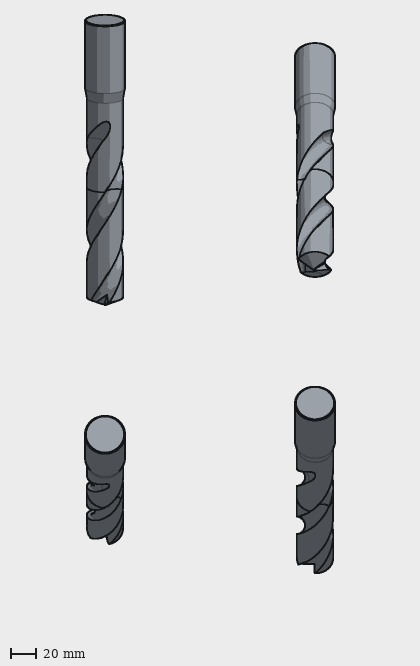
import cadquery as cq
import math

LENGTH = 235.0
SHANK_RADIUS = 16.0
DRILL_RADIUS = 14.45
SHANK_BOTTOM_Z = 179.3
NECK_TOP_Z = 170.8
SPLIT_Z = 97.3
POINT_HEIGHT = 6.8
TOP_CHAMFER_WIDTH = 1.0
TOP_CHAMFER_HEIGHT = 0.7

FLUTE_COUNT = 2
FLUTE_PITCH = 141.5
FLUTE_END_Z = 139.1
FLUTE_HALF_WIDTH = 8.2
FLUTE_DEPTH = 6.5
FLUTE_START_Z = -4.7
RUNOUT_SLOPE = 1.0
RUNOUT_LENGTH = 21.2

GASH_ANGLE = -36.0
GASH_WEB = 0.2
GASH_AXIS_Z = 1.9
GASH_RISE = 1.1
GASH_TILT = 0.3
GASH_WIDTH = 18.8


def flute_section(angle, z):
    """Horizontal elliptical flute section, centred on the drill surface."""
    return (
        cq.Workplane("XY")
        .ellipse(FLUTE_DEPTH, FLUTE_HALF_WIDTH)
        .extrude(2.4)
        .faces("<Z")
        .val()
        .translate(cq.Vector(DRILL_RADIUS, 0, z))
        .rotate(cq.Vector(0, 0, 0), cq.Vector(0, 0, 1), angle)
    )


def flute_cutters(index):
    """Helical cut of one flute and the straight tangent cut that runs it out."""
    end_angle = -90 + index * 360 / FLUTE_COUNT
    helix_height = FLUTE_END_Z - FLUTE_START_Z
    twist = 360 * helix_height / FLUTE_PITCH

    start_section = flute_section(end_angle - twist, FLUTE_START_Z)
    helix = cq.Solid.extrudeLinearWithRotation(
        start_section.outerWire(),
        [],
        cq.Vector(0, 0, FLUTE_START_Z),
        cq.Vector(0, 0, helix_height),
        twist,
    )

    tangent = math.radians(end_angle + 90)
    direction = cq.Vector(math.cos(tangent), math.sin(tangent), RUNOUT_SLOPE) * RUNOUT_LENGTH
    end_section = flute_section(end_angle, FLUTE_END_Z)
    runout = cq.Solid.extrudeLinear(end_section.outerWire(), [], direction)
    return [helix, runout]


def cut_flutes(blank):
    for index in range(FLUTE_COUNT):
        for cutter in flute_cutters(index):
            blank = blank.cut(cq.Workplane(cutter))
    return blank


def gash_cutter(index):
    """Prism below the tilted gash roof, on the open side of one lip face."""
    foot_x = -GASH_AXIS_Z / GASH_RISE
    roof_end_z = GASH_AXIS_Z + GASH_RISE * DRILL_RADIUS
    profile = (
        cq.Workplane("XZ")
        .moveTo(foot_x, 0)
        .lineTo(DRILL_RADIUS, roof_end_z)
        .lineTo(DRILL_RADIUS, 0)
        .close()
        .wire()
        .val()
        .translate(cq.Vector(0, -GASH_WEB, 0))
    )
    sweep = cq.Vector(0, -1, -GASH_TILT) * GASH_WIDTH
    prism = cq.Solid.extrudeLinear(profile, [], sweep)
    angle = GASH_ANGLE + index * 360 / FLUTE_COUNT
    return cq.Workplane(prism.rotate(cq.Vector(0, 0, 0), cq.Vector(0, 0, 1), angle))


def make_holder():
    """Shank, conical neck and the upper part of the fluted length."""
    blank = (
        cq.Workplane("XZ")
        .moveTo(0, SPLIT_Z)
        .lineTo(DRILL_RADIUS, SPLIT_Z)
        .lineTo(DRILL_RADIUS, NECK_TOP_Z)
        .lineTo(SHANK_RADIUS, SHANK_BOTTOM_Z)
        .lineTo(SHANK_RADIUS, LENGTH - TOP_CHAMFER_HEIGHT)
        .lineTo(SHANK_RADIUS - TOP_CHAMFER_WIDTH, LENGTH)
        .lineTo(0, LENGTH)
        .close()
        .revolve(360, (0, 0), (0, 1))
    )
    return cut_flutes(blank)


def make_cutting_tip():
    """Lower part of the fluted length, ending in the conical point."""
    blank = (
        cq.Workplane("XZ")
        .moveTo(0, 0)
        .lineTo(DRILL_RADIUS, POINT_HEIGHT)
        .lineTo(DRILL_RADIUS, SPLIT_Z)
        .lineTo(0, SPLIT_Z)
        .close()
        .revolve(360, (0, 0), (0, 1))
    )
    tip = cut_flutes(blank)
    for index in range(FLUTE_COUNT):
        tip = tip.cut(gash_cutter(index))
    return tip


holder = make_holder()
cutting_tip = make_cutting_tip()

result = cq.Compound.makeCompound([holder.val(), cutting_tip.val()])